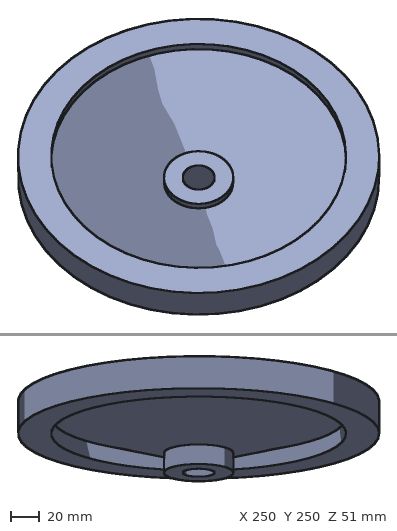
import cadquery as cq

rim_radius = 125.0
rim_inner_radius = 102.0
rim_height = 23.0

total_height = 51.0
hub_radius = 24.0
bore_radius = 11.0
hub_top = 28.0

web_top_at_hub = 23.2
web_top_at_rim = 45.5
web_bottom_at_hub = 14.0
web_bottom_at_rim = 39.8

rim_bottom = total_height - rim_height


def ring(outer_radius, inner_radius, bottom, top):
    """Plain ring about the Z axis."""
    return (
        cq.Workplane("XY", origin=(0, 0, bottom))
        .circle(outer_radius)
        .circle(inner_radius)
        .extrude(top - bottom)
    )


def conical_web():
    """Dished web joining the hub to the rim, revolved about the Z axis."""
    section = [
        (hub_radius, web_bottom_at_hub),
        (rim_inner_radius, web_bottom_at_rim),
        (rim_inner_radius, web_top_at_rim),
        (hub_radius, web_top_at_hub),
    ]
    return cq.Workplane("XZ").polyline(section).close().revolve(360, (0, 0), (0, 1))


rim = ring(rim_radius, rim_inner_radius, rim_bottom, total_height)
hub = ring(hub_radius, bore_radius, 0, hub_top)
result = rim.union(conical_web()).union(hub)